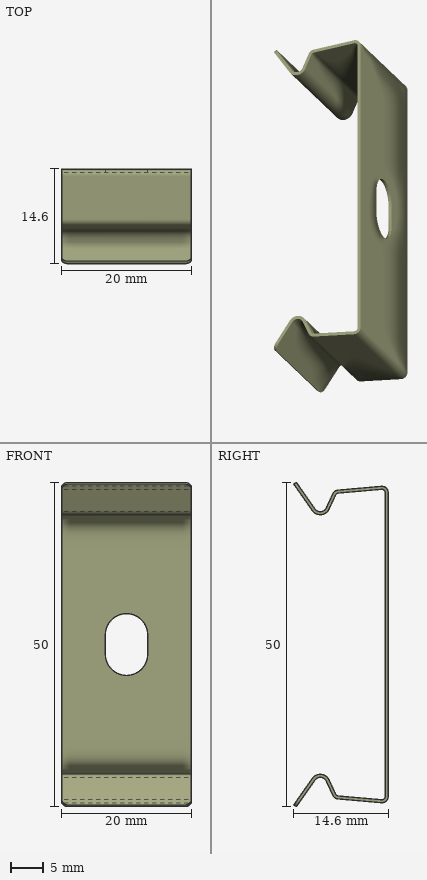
import cadquery as cq
import math


width = 20.0
depth = 14.59
height = 50.04
thickness = 0.5

slot_width = 6.5
slot_length = 9.5

back_heading = 90.0
flange_heading = 185.0
catch_heading = 245.0
lip_heading = 125.0

flange_length = 6.69
catch_length = 2.41

corner_radius = 0.5
knee_radius = 0.5
catch_radius = 1.0

lip_corner_radius = 1.0


def shift(point, distance, heading):
    """Point reached by moving a distance along a heading."""
    angle = math.radians(heading)
    return (point[0] + distance * math.cos(angle), point[1] + distance * math.sin(angle))


class SheetPath:
    """Walks the middle of the sheet, recording a section (point, heading) at each step."""

    def __init__(self, start, heading):
        self.sections = [(start, heading)]
        self.bend_middles = []

    def straight(self, length):
        point, heading = self.sections[-1]
        self.sections.append((shift(point, length, heading), heading))
        self.bend_middles.append(None)

    def bend(self, new_heading, inside_radius):
        point, heading = self.sections[-1]
        radius = inside_radius + thickness / 2
        turn = new_heading - heading
        side = math.copysign(90, turn)
        center = shift(point, radius, heading + side)
        middle_heading = heading + turn / 2
        self.bend_middles.append((shift(center, -radius, middle_heading + side), middle_heading))
        self.sections.append((shift(center, -radius, new_heading + side), new_heading))

    def end(self):
        return self.sections[-1][0]

    def outline(self):
        """Closed sheet outline in the YZ plane, half a thickness to each side of the path."""

        def offset(section, side):
            point, heading = section
            return shift(point, side * thickness / 2, heading + 90)

        def draw_step(sketch, middle, target, side):
            if middle is None:
                return sketch.lineTo(*offset(target, side))
            return sketch.threePointArc(offset(middle, side), offset(target, side))

        sketch = cq.Workplane("YZ").moveTo(*offset(self.sections[0], -1))
        for middle, target in zip(self.bend_middles, self.sections[1:]):
            sketch = draw_step(sketch, middle, target, -1)
        sketch = sketch.lineTo(*offset(self.sections[-1], 1))
        for middle, target in zip(reversed(self.bend_middles), reversed(self.sections[:-1])):
            sketch = draw_step(sketch, middle, target, 1)
        return sketch.close()


def arm_path(back_length, lip_length):
    """Upper half of the clip, from mid-height of the back plate to the lip tip."""
    path = SheetPath((-thickness / 2, 0), back_heading)
    path.straight(back_length)
    path.bend(flange_heading, corner_radius)
    path.straight(flange_length)
    path.bend(catch_heading, knee_radius)
    path.straight(catch_length)
    path.bend(lip_heading, catch_radius)
    path.straight(lip_length)
    return path


def fitted_arm_path():
    """Arm path whose lip corners reach the overall depth and half the height."""
    lip_angle = math.radians(lip_heading)
    tip_y = -depth + thickness / 2 * math.sin(lip_angle)
    tip_z = height / 2 + thickness / 2 * math.cos(lip_angle)
    catch_y, catch_z = arm_path(0, 0).end()
    lip_length = (tip_y - catch_y) / math.cos(lip_angle)
    back_length = tip_z - catch_z - lip_length * math.sin(lip_angle)
    return arm_path(back_length, lip_length)


def make_arm():
    path = fitted_arm_path()
    arm = path.outline().extrude(width / 2, both=True)
    tip_y, tip_z = path.end()
    tip_corners = cq.selectors.BoxSelector(
        (-width, tip_y - thickness, tip_z - thickness),
        (width, tip_y + thickness, tip_z + thickness),
    )
    return arm.edges(tip_corners).edges("<X or >X").fillet(lip_corner_radius)


def cut_slot(clip):
    slot = cq.Workplane("XZ").slot2D(slot_length, slot_width, 90).extrude(thickness)
    return clip.cut(slot)


upper_arm = make_arm()
clip = upper_arm.union(upper_arm.mirror("XY")).clean()
result = cut_slot(clip)